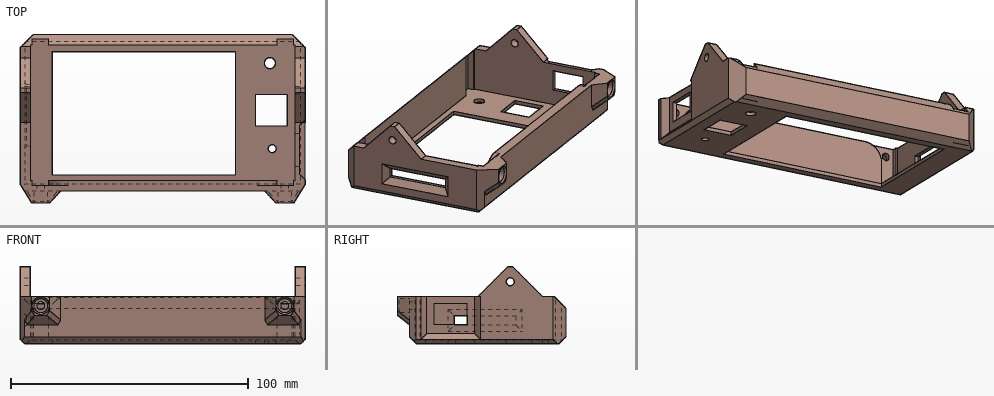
import cadquery as cq

LENGTH = 120.0
DEPTH = 66.0
RIM_HEIGHT = 20.0
FLOOR = 1.5
SIDE_BEVEL = 1.9
LONG_BEVEL = 3.0
BACK_BEVEL = 5.0
BACK_CORNER = 5.5

SIDE_WALL = 4.3
BACK_WALL = 4.5
FRONT_WALL = 4.5
RELIEF_HALF_LENGTH = 55.0
RELIEF_INNER_X = 48.0
RELIEF_BACK_WALL = 1.9
RELIEF_FRONT_WALL = 2.3
RELIEF_ROUND = 8.2

SCREEN_LENGTH, SCREEN_WIDTH = 77.0, 51.8
SCREEN_X, SCREEN_Y = -7.9, -0.2
SQUARE_SIDE = 13.2
SQUARE_X, SQUARE_Y = 45.7, 1.1
ROUND_HOLES = [(45.1, 20.9, 4.5), (46.1, -15.1, 3.2)]

EAR_Y = 9.5
EAR_TOP = 32.5
EAR_TIP_WIDTH = 2.0
EAR_HOLE_Z = 26.2
EAR_HOLE_DIAMETER = 3.2

WINDOW_Y, WINDOW_Z = -1.1, 9.8
WINDOW_WIDTH, WINDOW_HEIGHT = 31.2, 9.1
WINDOW_TAPER = 2.6

RECESS_DEPTH = 2.5
RECESS_Y = -15.6
RECESS_WIDTH = 20.2
RECESS_BOTTOM = 4.3
SOCKET_WIDTH = 13.9
SOCKET_BOTTOM, SOCKET_TOP = 8.2, 16.9

BOSS_REACH = 5.0
BOSS_OUTER_X, BOSS_INNER_X = 55.2, 47.6
BOSS_ROOT_INNER_X = 43.0
BOSS_FRONT_HEIGHT, BOSS_ROOT_HEIGHT = 8.0, 12.0
BOSS_BEVEL_X, BOSS_BEVEL_Z = 1.2, 2.0
FRONT_CORNER_DEPTH = 7.9
SCREW_X = 51.4
SCREW_DROP = 4.0
SCREW_DIAMETER = 3.2
INSERT_DIAMETER = 5.9
INSERT_DEPTH = 5.0
INSERT_BEVEL = 0.7

HALF = LENGTH / 2
BACK = DEPTH / 2
FRONT = -BACK
INNER_HALF = HALF - SIDE_WALL
INNER_BACK = BACK - BACK_WALL
INNER_FRONT = FRONT + FRONT_WALL
BOSS_FACE = FRONT - BOSS_REACH

CORNER_SLOPE = (HALF - BOSS_OUTER_X) / FRONT_CORNER_DEPTH
CORNER_Y = BOSS_FACE + FRONT_CORNER_DEPTH
CORNER_X = BOSS_OUTER_X + CORNER_SLOPE * BOSS_REACH


def box(x0, x1, y0, y1, z0, z1):
    return cq.Workplane("XY").box(x1 - x0, y1 - y0, z1 - z0, centered=False).translate((x0, y0, z0))


def both_ends(solid):
    """Return the solid together with its mirror image at the other end of the case."""
    return solid.union(solid.mirror("YZ"))


def outer_block():
    plan = [
        (-CORNER_X, FRONT), (CORNER_X, FRONT), (HALF, CORNER_Y), (HALF, BACK - BACK_CORNER),
        (HALF - BACK_CORNER, BACK), (BACK_CORNER - HALF, BACK),
        (-HALF, BACK - BACK_CORNER), (-HALF, CORNER_Y),
    ]
    ear_foot = EAR_TIP_WIDTH / 2 + EAR_TOP - RIM_HEIGHT
    side = [
        (FRONT, LONG_BEVEL), (FRONT, RIM_HEIGHT),
        (EAR_Y - ear_foot, RIM_HEIGHT), (EAR_Y - EAR_TIP_WIDTH / 2, EAR_TOP),
        (EAR_Y + EAR_TIP_WIDTH / 2, EAR_TOP), (EAR_Y + ear_foot, RIM_HEIGHT),
        (BACK - BACK_BEVEL, RIM_HEIGHT), (BACK, RIM_HEIGHT - BACK_BEVEL),
        (BACK, LONG_BEVEL), (BACK - LONG_BEVEL, 0), (FRONT + LONG_BEVEL, 0),
    ]
    end = [
        (SIDE_BEVEL - HALF, 0), (HALF - SIDE_BEVEL, 0), (HALF, SIDE_BEVEL),
        (HALF, EAR_TOP), (-HALF, EAR_TOP), (-HALF, SIDE_BEVEL),
    ]
    block = cq.Workplane("XY").polyline(plan).close().extrude(EAR_TOP)
    block = block.intersect(cq.Workplane("YZ").polyline(side).close().extrude(HALF, both=True))
    return block.intersect(cq.Workplane("XZ").polyline(end).close().extrude(DEPTH, both=True))


def boss():
    def section(inner_x, outer_x, height):
        bottom = RIM_HEIGHT - height
        return [
            (inner_x, RIM_HEIGHT), (outer_x, RIM_HEIGHT), (outer_x, bottom + BOSS_BEVEL_Z),
            (outer_x - BOSS_BEVEL_X, bottom), (inner_x + BOSS_BEVEL_X, bottom),
            (inner_x, bottom + BOSS_BEVEL_Z),
        ]

    root = section(BOSS_ROOT_INNER_X, CORNER_X, BOSS_ROOT_HEIGHT)
    face = section(BOSS_INNER_X, BOSS_OUTER_X, BOSS_FRONT_HEIGHT)
    return (
        cq.Workplane("XZ", origin=(0, FRONT, 0)).polyline(root).close()
        .workplane(offset=BOSS_REACH).polyline(face).close()
        .loft(ruled=True)
    )


def cavity():
    """Main pocket plus the narrower reliefs in the front and back walls at each end."""
    pocket = box(-INNER_HALF, INNER_HALF, INNER_FRONT, INNER_BACK, FLOOR, EAR_TOP)
    relief = box(
        RELIEF_INNER_X, RELIEF_HALF_LENGTH, FRONT + RELIEF_FRONT_WALL, BACK - RELIEF_BACK_WALL, FLOOR, EAR_TOP
    )
    lead_in_x = RELIEF_INNER_X - RELIEF_ROUND
    lead_in = box(lead_in_x, RELIEF_INNER_X, FRONT + RELIEF_FRONT_WALL, INNER_FRONT,
                  RIM_HEIGHT - RELIEF_ROUND, RIM_HEIGHT)
    round_end = (
        cq.Workplane("XZ", origin=(lead_in_x, 0, RIM_HEIGHT - RELIEF_ROUND))
        .circle(RELIEF_ROUND).extrude(DEPTH, both=True)
    )
    return pocket.union(both_ends(relief.union(lead_in.cut(round_end))))


def floor_openings():
    cutter = box(-SCREEN_LENGTH / 2, SCREEN_LENGTH / 2, -SCREEN_WIDTH / 2, SCREEN_WIDTH / 2, 0, FLOOR)
    cutter = cutter.translate((SCREEN_X, SCREEN_Y, 0))
    cutter = cutter.union(
        cq.Workplane("XY", origin=(SQUARE_X, SQUARE_Y, 0)).rect(SQUARE_SIDE, SQUARE_SIDE).extrude(FLOOR)
    )
    for x, y, diameter in ROUND_HOLES:
        cutter = cutter.union(cq.Workplane("XY", origin=(x, y, 0)).circle(diameter / 2).extrude(FLOOR))
    return cutter


def ear_holes():
    return cq.Workplane("YZ").center(EAR_Y, EAR_HOLE_Z).circle(EAR_HOLE_DIAMETER / 2).extrude(HALF, both=True)


def left_window():
    """Rectangular opening that narrows at 45 degrees, then runs straight to the inside."""
    inner_width = WINDOW_WIDTH - 2 * WINDOW_TAPER
    inner_height = WINDOW_HEIGHT - 2 * WINDOW_TAPER
    face = cq.Workplane("YZ", origin=(-HALF, WINDOW_Y, WINDOW_Z))
    funnel = (
        face.rect(WINDOW_WIDTH, WINDOW_HEIGHT)
        .workplane(offset=WINDOW_TAPER).rect(inner_width, inner_height).loft(ruled=True)
    )
    return funnel.union(face.rect(inner_width, inner_height).extrude(SIDE_WALL))


def right_socket():
    """Plug recess open at the rim, with 45-degree flared edges, and the socket opening behind it."""
    half = RECESS_WIDTH / 2

    def outline(plane, flare):
        return plane.polyline([
            (-half - flare, RECESS_BOTTOM - flare), (half + flare, RECESS_BOTTOM - flare),
            (half + flare, RIM_HEIGHT), (-half - flare, RIM_HEIGHT),
        ]).close()

    floor_plane = cq.Workplane("YZ", origin=(HALF - RECESS_DEPTH, RECESS_Y, 0))
    recess = outline(outline(floor_plane, 0).workplane(offset=RECESS_DEPTH), RECESS_DEPTH).loft(ruled=True)
    socket = box(INNER_HALF, HALF, RECESS_Y - SOCKET_WIDTH / 2, RECESS_Y + SOCKET_WIDTH / 2,
                 SOCKET_BOTTOM, SOCKET_TOP)
    return recess.union(socket)


def screw_hole():
    """Insert bore with a bevelled mouth and a clearance hole through to the relief."""
    face = cq.Workplane("XZ", origin=(SCREW_X, BOSS_FACE, RIM_HEIGHT - SCREW_DROP))
    mouth = (
        face.circle(INSERT_DIAMETER / 2 + INSERT_BEVEL)
        .workplane(offset=-INSERT_BEVEL).circle(INSERT_DIAMETER / 2).loft()
    )
    bore = face.circle(INSERT_DIAMETER / 2).extrude(-INSERT_DEPTH)
    clearance = face.circle(SCREW_DIAMETER / 2).extrude(-(BOSS_REACH + FRONT_WALL))
    return mouth.union(bore).union(clearance)


result = (
    outer_block()
    .union(both_ends(boss()))
    .cut(cavity())
    .cut(floor_openings())
    .cut(ear_holes())
    .cut(left_window())
    .cut(right_socket())
    .cut(both_ends(screw_hole()))
)